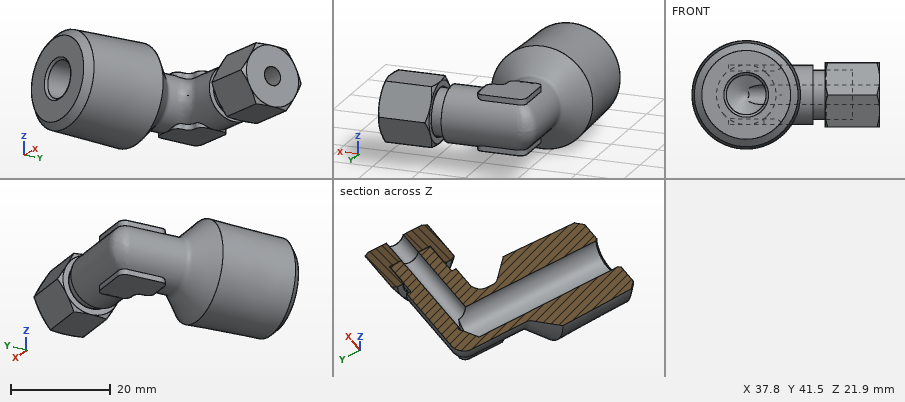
import cadquery as cq
import math


overall_length_x = 37.77
barrel_radius = 12.0 / 2
thread_end_radius = 20.9 / 2
thread_root_radius = 21.88 / 2
thread_root_y = 18.35
end_chamfer = 1.5
shoulder_angle = 45
shoulder_blend_radius = 1.55
branch_y = 34.0

barrel_end_x = 13.5
neck_radius = 5
outer_bend_radius = 3.0
inner_bend_radius = 2.5

pad_half_width = 7.1 / 2
pad_reach = 7.0
pad_corner_radius = 1.5
pad_rise = 0.02
pad_height = barrel_radius + pad_rise

main_bore_radius = 8.0 / 2
main_bore_chamfer = 0.5
drill_point_angle = 120
branch_bore_radius = 2.0

nut_start_x = 15.9
nut_end_x = overall_length_x - thread_root_radius
nut_across_flats = 13.0
nut_face_radius = nut_across_flats / 2
nut_chamfer_length = 0.5
nut_countersink = 0.25
neck_end_x = (nut_start_x + nut_end_x) / 2

mitre_tolerance = 0.005
least_distance_from_leg_axis = 1


def along_branch(radius, start_x, end_x):
    """Cylinder on the branch axis."""
    return (
        cq.Workplane("YZ", origin=(start_x, branch_y, 0))
        .circle(radius)
        .extrude(end_x - start_x)
    )


def make_threaded_leg():
    """Tapered thread, shoulder and barrel, turned about Y and running past the bend."""
    slope = math.radians(shoulder_angle)
    shoulder_top_y = thread_root_y + (thread_root_radius - barrel_radius) * math.tan(slope)
    blend_setback = shoulder_blend_radius * math.tan(slope / 2)
    blend_start = (
        barrel_radius + blend_setback * math.cos(slope),
        shoulder_top_y - blend_setback * math.sin(slope),
    )
    blend_end = (barrel_radius, shoulder_top_y + blend_setback)
    blend_middle = (
        barrel_radius + shoulder_blend_radius * (1 - math.cos(slope / 2)),
        blend_end[1] - shoulder_blend_radius * math.sin(slope / 2),
    )
    top_y = branch_y + 2 * barrel_radius
    return (
        cq.Workplane("XY")
        .lineTo(thread_end_radius - end_chamfer, 0)
        .lineTo(thread_end_radius, end_chamfer)
        .lineTo(thread_root_radius, thread_root_y)
        .lineTo(*blend_start)
        .threePointArc(blend_middle, blend_end)
        .lineTo(barrel_radius, top_y)
        .lineTo(0, top_y)
        .close()
        .revolve(360, (0, 0, 0), (0, 1, 0))
    )


def make_pads():
    """L-shaped block whose two flat ends are the pads, rounded at every corner."""
    return (
        cq.Workplane("XY", origin=(0, branch_y, -pad_height))
        .moveTo(-pad_half_width, pad_half_width)
        .lineTo(pad_reach, pad_half_width)
        .lineTo(pad_reach, -pad_half_width)
        .lineTo(pad_half_width, -pad_half_width)
        .lineTo(pad_half_width, -pad_reach)
        .lineTo(-pad_half_width, -pad_reach)
        .close()
        .extrude(2 * pad_height)
        .edges("|Z")
        .fillet(pad_corner_radius)
    )


def make_bent_barrel():
    """Leg and branch joined at a 45 degree mitre, with the bend rounded inside and outside."""
    far = 83
    leg_side = (
        cq.Workplane("XY", origin=(0, branch_y, -far / 2))
        .polyline([(-far, far), (far, -far), (-far, -far)])
        .close()
        .extrude(far)
    )
    leg = make_threaded_leg().intersect(leg_side)
    branch = along_branch(barrel_radius, -2 * barrel_radius, barrel_end_x).cut(leg_side)
    body = leg.union(branch).union(make_pads())
    for side, radius in ((-2.409, outer_bend_radius), (2.409, inner_bend_radius)):
        body = body.newObject(mitre_edges(body, side)).fillet(radius)
    return body


def lies_on_mitre(point):
    """True for points on the 45 degree plane through the bend."""
    return abs(point.x + point.y - branch_y) < mitre_tolerance


def mitre_edges(body, side):
    """Mitre edges on the outer (side = -1) or inner (side = 1) half of the bend."""
    return [
        edge
        for edge in body.edges().vals()
        if edge.positionAt(0.5).x * side > least_distance_from_leg_axis
        and all(lies_on_mitre(edge.positionAt(place)) for place in (0, 0.5, 1))
    ]


def make_main_bore():
    """Chamfered bore of the threaded leg with a drill-point end, reaching the branch axis."""
    point_length = main_bore_radius / math.tan(math.radians(drill_point_angle / 2))
    return (
        cq.Workplane("XY")
        .lineTo(main_bore_radius + main_bore_chamfer, 0)
        .lineTo(main_bore_radius, main_bore_chamfer)
        .lineTo(main_bore_radius, branch_y)
        .lineTo(0, branch_y + point_length)
        .close()
        .revolve(360, (0, 0, 0), (0, 1, 0))
    )


def make_elbow():
    """Bent body with pads, neck and the two bores that meet in the bend."""
    neck = along_branch(neck_radius, barrel_end_x, neck_end_x)
    branch_bore = along_branch(branch_bore_radius, 0, neck_end_x)
    return make_bent_barrel().union(neck).cut(make_main_bore()).cut(branch_bore)


def make_nut():
    """Hexagon nut chamfered at both ends, with a countersunk socket for the neck and a hole for the tube."""
    corner_radius = nut_across_flats / math.sqrt(3)
    hexagon = (
        cq.Workplane("YZ", origin=(nut_start_x, branch_y, 0))
        .polygon(6, 2 * corner_radius)
        .extrude(nut_end_x - nut_start_x)
    )
    turned_ring = (
        cq.Workplane("XY", origin=(0, branch_y, 0))
        .moveTo(nut_start_x, neck_radius + nut_countersink)
        .lineTo(nut_start_x, nut_face_radius)
        .lineTo(nut_start_x + nut_chamfer_length, corner_radius)
        .lineTo(nut_end_x - nut_chamfer_length, corner_radius)
        .lineTo(nut_end_x, nut_face_radius)
        .lineTo(nut_end_x, branch_bore_radius)
        .lineTo(neck_end_x, branch_bore_radius)
        .lineTo(neck_end_x, neck_radius)
        .lineTo(nut_start_x + nut_countersink, neck_radius)
        .close()
        .revolve(360, (0, 0, 0), (1, 0, 0))
    )
    return hexagon.intersect(turned_ring)


elbow = make_elbow()
nut = make_nut()
result = cq.Compound.makeCompound([elbow.val(), nut.val()])